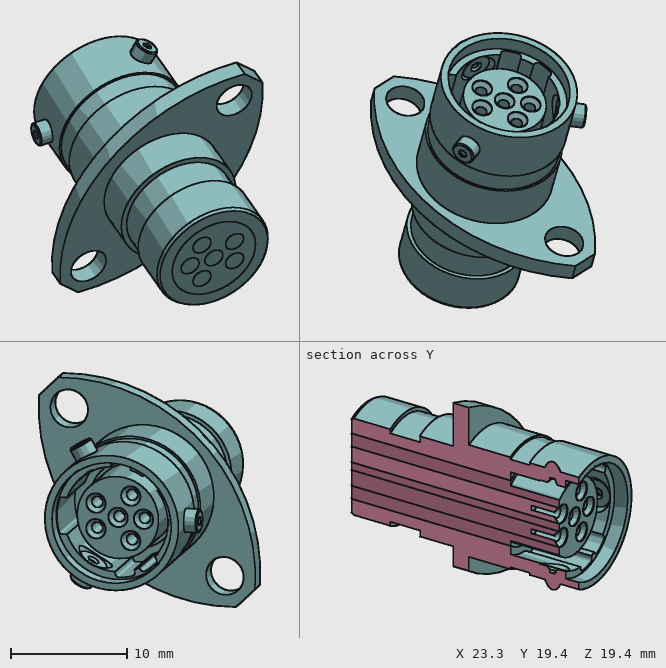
import cadquery as cq
import math

TOTAL_LENGTH = 23.3
FRONT_RADIUS = 5.99
FRONT_GROOVE_RADIUS = 5.8
FRONT_GROOVE_START = 5.05
FRONT_GROOVE_END = 7.01
FLANGE_FRONT = 11.25
FLANGE_THICKNESS = 1.63
FLANGE_BACK = FLANGE_FRONT + FLANGE_THICKNESS
REAR_COLLAR_RADIUS = 5.48
REAR_COLLAR_END = 16.29
REAR_NECK_RADIUS = 4.96
REAR_NECK_END = 19.3
REAR_END_RADIUS = 5.31
REAR_CHAMFER_LENGTH = 0.28
REAR_CHAMFER_HEIGHT = 0.16

FLANGE_HALF_SIZE = 9.67
TIP_SIDE_OFFSET = 7.97
LENS_HALF_WIDTH = 6.85
MOUNTING_HOLE_OFFSET = 6.97
MOUNTING_HOLE_RADIUS = 1.68

RIM_BORE_RADIUS = 5.34
RIM_BORE_DEPTH = 1.35
BORE_RADIUS = 4.65
BORE_DEPTH = 7.0
INSERT_SEAT_RADIUS = 3.98

MASTER_KEYWAY_WIDTH = 3.26
MASTER_KEYWAY_RADIUS = 5.27
MINOR_KEYWAY_WIDTH = 1.77
MINOR_KEYWAY_RADIUS = 5.15
MINOR_KEYWAY_ANGLES = (95.0, 132.0, 232.5, 260.0)
MASTER_KEYWAY_FILLET = 0.23
MINOR_KEYWAY_FILLET = 0.33

PIN_ANGLES = (60.0, 180.0, 300.0)
PIN_X = 2.7
PIN_RADIUS = 1.03
PIN_TIP_RADIUS = 7.13
PIN_CHAMFER = 0.12
PIN_DIMPLE_RADIUS = 0.37
PIN_DIMPLE_DEPTH = 0.2
POCKET_FLOOR = 4.73
POCKET_RADIUS = 1.28
PIN_BORE_MOUTH_RADIUS = 0.51
PIN_BORE_RADIUS = 0.3
PIN_BORE_DEPTH = 0.47

INSERT_FACE_X = 2.0
INSERT_FRONT_RADIUS = 3.63
INSERT_KEY_HEIGHT = 3.77
INSERT_KEY_WIDTH = 1.3
INSERT_KEY_LENGTH = 0.93

CONTACT_CIRCLE_RADIUS = 2.28
CONTACT_ANGLES = (30.0, 120.0, 180.0, 240.0, 330.0)
CONTACT_RADIUS = 0.86
CONTACT_RECESS = 0.1
CONTACT_START = INSERT_FACE_X + CONTACT_RECESS
CONTACT_END = TOTAL_LENGTH
CONTACT_CONE_DEPTH = 0.4
CONTACT_BORE_RADIUS = 0.5
CONTACT_BORE_DEPTH = 2.8


def cylinder(x_start, x_end, radius, y=0.0, z=0.0):
    """Cylinder along X between two stations."""
    return (
        cq.Workplane("YZ", origin=(x_start, y, z))
        .circle(radius)
        .extrude(x_end - x_start)
    )


def polar(radius, angle):
    """Y and Z of a point at an angle measured from +Y toward +Z."""
    turn = math.radians(angle)
    return radius * math.cos(turn), radius * math.sin(turn)


CONTACT_CENTERS = [(0.0, 0.0)] + [polar(CONTACT_CIRCLE_RADIUS, angle) for angle in CONTACT_ANGLES]


def make_barrel():
    chamfer_start = TOTAL_LENGTH - REAR_CHAMFER_LENGTH
    chamfer_radius = REAR_END_RADIUS - REAR_CHAMFER_HEIGHT
    profile = [
        (0, 0),
        (0, FRONT_RADIUS),
        (FRONT_GROOVE_START, FRONT_RADIUS),
        (FRONT_GROOVE_START, FRONT_GROOVE_RADIUS),
        (FRONT_GROOVE_END, FRONT_GROOVE_RADIUS),
        (FRONT_GROOVE_END, FRONT_RADIUS),
        (FLANGE_FRONT, FRONT_RADIUS),
        (FLANGE_FRONT, REAR_COLLAR_RADIUS),
        (REAR_COLLAR_END, REAR_COLLAR_RADIUS),
        (REAR_COLLAR_END, REAR_NECK_RADIUS),
        (REAR_NECK_END, REAR_NECK_RADIUS),
        (REAR_NECK_END, REAR_END_RADIUS),
        (chamfer_start, REAR_END_RADIUS),
        (TOTAL_LENGTH, chamfer_radius),
        (TOTAL_LENGTH, 0),
    ]
    return cq.Workplane("XZ").polyline(profile).close().revolve(360, (0, 0), (1, 0))


def make_flange():
    bulge = LENS_HALF_WIDTH / math.sqrt(2)
    size = FLANGE_HALF_SIZE
    side = TIP_SIDE_OFFSET
    plate = (
        cq.Workplane("YZ", origin=(FLANGE_FRONT, 0, 0))
        .moveTo(size, side)
        .lineTo(side, size)
        .threePointArc((-bulge, bulge), (-size, -side))
        .lineTo(-side, -size)
        .threePointArc((bulge, -bulge), (size, side))
        .close()
        .extrude(FLANGE_THICKNESS)
    )
    for offset in (MOUNTING_HOLE_OFFSET, -MOUNTING_HOLE_OFFSET):
        plate = plate.cut(cylinder(FLANGE_FRONT, FLANGE_BACK, MOUNTING_HOLE_RADIUS, offset, offset))
    return plate


def make_keyway(angle, width, radius, fillet):
    """Straight-sided slot that widens the bore out to the given radius."""
    half_width = width / 2
    corner = math.sqrt(radius**2 - half_width**2)
    return (
        cq.Workplane("YZ")
        .moveTo(0, -half_width)
        .lineTo(corner, -half_width)
        .threePointArc((radius, 0), (corner, half_width))
        .lineTo(0, half_width)
        .close()
        .extrude(BORE_DEPTH)
        .edges("|X")
        .edges(">Y")
        .fillet(fillet)
        .rotate((0, 0, 0), (1, 0, 0), angle)
    )


def make_radial_cylinder(radius, inner, outer):
    """Cylinder standing on the -Y side at the pins' station, between two distances from the X axis."""
    return cq.Workplane("XZ", origin=(PIN_X, -inner, 0)).circle(radius).extrude(outer - inner)


def make_pin_pocket():
    """Hollow behind the pin on the -Y side: a 45 degree countersink and a chamfered blind bore."""
    rise = POCKET_FLOOR - INSERT_SEAT_RADIUS
    chamfer = PIN_BORE_MOUTH_RADIUS - PIN_BORE_RADIUS
    bore_end = POCKET_FLOOR + PIN_BORE_DEPTH
    profile = [
        (PIN_X, -INSERT_SEAT_RADIUS),
        (PIN_X + POCKET_RADIUS + rise, -INSERT_SEAT_RADIUS),
        (PIN_X + POCKET_RADIUS, -POCKET_FLOOR),
        (PIN_X + PIN_BORE_MOUTH_RADIUS, -POCKET_FLOOR),
        (PIN_X + PIN_BORE_RADIUS, -POCKET_FLOOR - chamfer),
        (PIN_X + PIN_BORE_RADIUS, -bore_end),
        (PIN_X, -bore_end),
    ]
    return cq.Workplane("XY").polyline(profile).close().revolve(360, (PIN_X, 0), (PIN_X, 1))


def add_bayonet_pin(shell, angle):
    """Adds a pin at an angle, dimples its tip and drills the pocket behind it."""
    turn = angle - 180
    stud = make_radial_cylinder(PIN_RADIUS, RIM_BORE_RADIUS, PIN_TIP_RADIUS)
    stud = stud.faces("<Y").chamfer(PIN_CHAMFER)
    dimple = make_radial_cylinder(PIN_DIMPLE_RADIUS, PIN_TIP_RADIUS - PIN_DIMPLE_DEPTH, PIN_TIP_RADIUS)
    shell = shell.union(stud.rotate((0, 0, 0), (1, 0, 0), turn))
    for hollow in (dimple, make_pin_pocket()):
        shell = shell.cut(hollow.rotate((0, 0, 0), (1, 0, 0), turn))
    return shell


def make_shell():
    shell = make_barrel().union(make_flange())
    shell = shell.cut(cylinder(0, RIM_BORE_DEPTH, RIM_BORE_RADIUS))
    shell = shell.cut(cylinder(0, BORE_DEPTH, BORE_RADIUS))
    shell = shell.cut(make_keyway(0, MASTER_KEYWAY_WIDTH, MASTER_KEYWAY_RADIUS, MASTER_KEYWAY_FILLET))
    for angle in MINOR_KEYWAY_ANGLES:
        shell = shell.cut(make_keyway(angle, MINOR_KEYWAY_WIDTH, MINOR_KEYWAY_RADIUS, MINOR_KEYWAY_FILLET))
    shell = shell.cut(cylinder(0, TOTAL_LENGTH, INSERT_SEAT_RADIUS))
    for angle in PIN_ANGLES:
        shell = add_bayonet_pin(shell, angle)
    return shell


def make_insert():
    insert = cylinder(INSERT_FACE_X, TOTAL_LENGTH, INSERT_FRONT_RADIUS)
    insert = insert.union(cylinder(BORE_DEPTH, TOTAL_LENGTH, INSERT_SEAT_RADIUS))
    key = cq.Workplane("XY").box(
        INSERT_KEY_LENGTH, INSERT_KEY_HEIGHT, INSERT_KEY_WIDTH, centered=(False, False, True)
    )
    insert = insert.union(key.translate((BORE_DEPTH - INSERT_KEY_LENGTH, 0, 0)))
    for y, z in CONTACT_CENTERS:
        insert = insert.cut(cylinder(INSERT_FACE_X, CONTACT_END, CONTACT_RADIUS, y, z))
    return insert


def make_contact(y, z):
    """Socket with a conical mouth and a blind bore."""
    profile = [
        (CONTACT_START, CONTACT_RADIUS),
        (CONTACT_START + CONTACT_CONE_DEPTH, CONTACT_BORE_RADIUS),
        (CONTACT_START + CONTACT_BORE_DEPTH, CONTACT_BORE_RADIUS),
        (CONTACT_START + CONTACT_BORE_DEPTH, 0),
        (CONTACT_END, 0),
        (CONTACT_END, CONTACT_RADIUS),
    ]
    contact = cq.Workplane("XY").polyline(profile).close().revolve(360, (0, 0), (1, 0))
    return contact.translate((0, y, z))


shell = make_shell()
insert = make_insert()
contacts = [make_contact(y, z) for y, z in CONTACT_CENTERS]

result = cq.Compound.makeCompound([shell.val(), insert.val(), *[contact.val() for contact in contacts]])